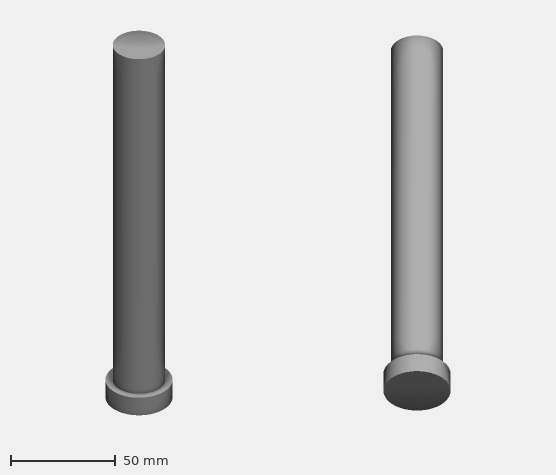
import cadquery as cq

total_length = 200.0
head_diameter = 32.0
head_height = 10.0
shaft_diameter = 25.0
shaft_length = total_length - head_height

head = cq.Workplane("XY").circle(head_diameter / 2).extrude(head_height)

result = head.faces(">Z").workplane().circle(shaft_diameter / 2).extrude(shaft_length)